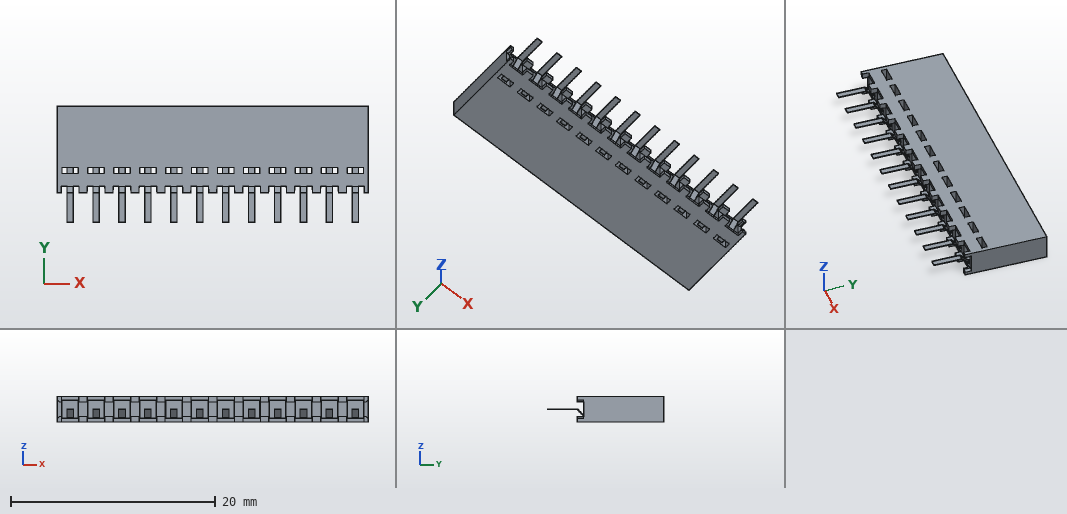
import cadquery as cq
import math

length = 30.48
height = 2.53
body_depth = 8.5
tail_length = 2.9
contact_count = 12
pitch = length / contact_count

tab_depth = 0.65
tab_height = 0.55
end_chamfer = 0.2

mouth_width = 1.75
mouth_wall = 0.35
window_width = 1.6
window_wall = 0.43
window_front = 1.92
window_depth = 0.55
window_back = window_front + window_depth

contact_width = 0.65
contact_thickness = 0.1
contact_floor = 0.37
contact_anchor = 0.3
tail_top = 1.3
ramp_rise = tail_top - contact_thickness - contact_floor

front = 0.0
contact_centers = [(i + 0.5) * pitch - length / 2 for i in range(contact_count)]


def make_block(width, y_start, y_end, z_start, z_end, x_center=0.0):
    """Box centred on x_center in X and spanning the given Y and Z ranges."""
    return (
        cq.Workplane("XY")
        .box(width, y_end - y_start, z_end - z_start, centered=(True, False, False))
        .translate((x_center, y_start, z_start))
    )


def make_web_groove():
    """Groove between the two rows of tabs, widening towards both ends in X."""
    half_length = length / 2
    half_gap = height / 2 - tab_height
    corner = [
        (half_length - end_chamfer, half_gap),
        (half_length, half_gap + end_chamfer),
    ]
    upper = [(-x, z) for x, z in reversed(corner)] + corner
    lower = [(x, -z) for x, z in reversed(upper)]
    return (
        cq.Workplane("XZ", origin=(0, front, height / 2))
        .polyline(upper + lower)
        .close()
        .extrude(-tab_depth)
    )


def make_taper(x_center, front_height, back_height):
    """Cavity narrowing from the front edge to the window, centred in the height."""
    return (
        cq.Workplane("XZ", origin=(x_center, front, height / 2))
        .rect(mouth_width, front_height)
        .workplane(offset=-window_front)
        .rect(window_width, back_height)
        .loft(ruled=True)
    )


def make_cell(x_center):
    """Tapered cell, the notch it leaves between the tabs and the window across it."""
    cell = make_taper(x_center, height - 2 * mouth_wall, height - 2 * window_wall)
    tab_zone = make_block(pitch, front, tab_depth, 0, height, x_center)
    notch = make_taper(x_center, height, height).intersect(tab_zone)
    window = make_block(window_width, window_front, window_back, 0, height, x_center)
    return cell.union(notch).union(window)


def make_contact(x_center):
    """Strip set into the cell floor, ramping up and leaving as a straight tail."""
    back = window_back + contact_anchor
    floor_top = contact_floor + contact_thickness
    bend_shift = contact_thickness * math.tan(math.pi / 8)
    profile = [
        (back, contact_floor),
        (front + ramp_rise, contact_floor),
        (front, tail_top - contact_thickness),
        (front - tail_length, tail_top - contact_thickness),
        (front - tail_length, tail_top),
        (front + bend_shift, tail_top),
        (front + ramp_rise + bend_shift, floor_top),
        (back, floor_top),
    ]
    return (
        cq.Workplane("YZ", origin=(x_center, 0, 0))
        .polyline(profile)
        .close()
        .extrude(contact_width / 2, both=True)
    )


result = make_block(length, front, body_depth, 0, height).cut(make_web_groove())
for center in contact_centers:
    result = result.cut(make_cell(center))
for center in contact_centers:
    result = result.union(make_contact(center))